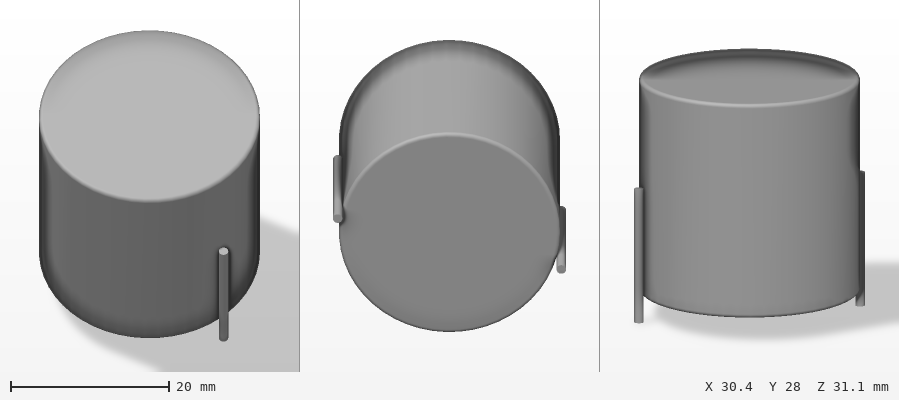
import cadquery as cq

overall_width = 30.4
overall_height = 31.1
can_diameter = 28.0
can_height = 28.0
can_edge_radius = 0.5
pin_length = 17.48

pin_diameter = (overall_width - can_diameter) / 2
pin_offset = (can_diameter + pin_diameter) / 2
can_base_height = overall_height - can_height


def make_can():
    """Upright cylinder with rounded rims, raised above the pin feet."""
    return (
        cq.Workplane("XY")
        .workplane(offset=can_base_height)
        .circle(can_diameter / 2)
        .extrude(can_height)
        .edges("%CIRCLE")
        .fillet(can_edge_radius)
    )


def make_pin(side):
    """Straight round pin on the -X (side = -1) or +X (side = 1) flank of the can."""
    return (
        cq.Workplane("XY")
        .center(side * pin_offset, 0)
        .circle(pin_diameter / 2)
        .extrude(pin_length)
    )


can = make_can()
pins = [make_pin(side) for side in (-1, 1)]

result = cq.Compound.makeCompound([can.val(), *(pin.val() for pin in pins)])